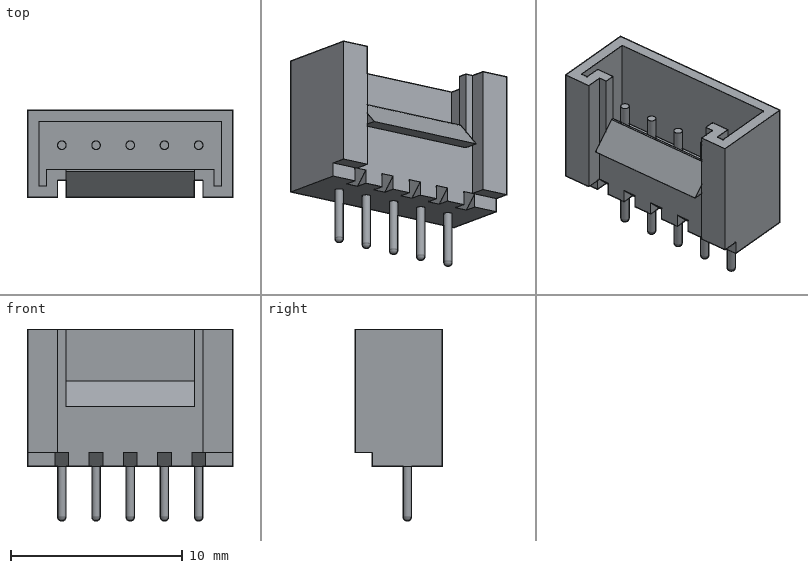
import cadquery as cq
import math

width = 12.0
depth = 5.1
height = 8.0
back_y = 2.05
front_y = back_y - depth
side_wall = 0.675
back_wall = 0.675
floor_top = 2.65

front_wall_setback = 1.0
front_wall_y = front_y + front_wall_setback
front_wall_thickness = 0.625
front_wall_inner_y = front_wall_y + front_wall_thickness
post_gap = 8.5
slot_front_wall = 0.65
lip_gap = 9.8
window_width = 7.5
window_sill = 5.0

ledge_bottom = 3.5
ledge_rise = window_sill - ledge_bottom

foot_step = 0.8
relief_width = 0.8
relief_height = foot_step

pin_count = 5
pitch = 2.0
pin_diameter = 0.5
pin_bottom = -3.2
pin_top = window_sill

pin_xs = [(i - (pin_count - 1) / 2) * pitch for i in range(pin_count)]


def block(size_x, y_min, y_max, z_min, z_max):
    """Box centred on x = 0 between the given y and z limits."""
    return (
        cq.Workplane("XY")
        .box(size_x, y_max - y_min, z_max - z_min, centered=(True, False, False))
        .translate((0, y_min, z_min))
    )


def side_prism(points, length, x_center=0.0):
    """Extrude a (y, z) profile along X, centred on x_center."""
    return (
        cq.Workplane("YZ")
        .polyline(points)
        .close()
        .extrude(length / 2, both=True)
        .translate((x_center, 0, 0))
    )


def make_housing():
    """Open-topped shell with corner posts, front wall and foot step."""
    body = block(width, front_y, back_y, 0, height)
    inner_width = width - 2 * side_wall

    cavity = block(inner_width, front_y + slot_front_wall, back_y - back_wall, floor_top, height)
    lips = block(lip_gap, front_y, front_wall_inner_y, 0, height)
    body = body.cut(cavity.cut(lips))

    body = body.cut(block(post_gap, front_y, front_wall_y, 0, height))
    body = body.cut(block(window_width, front_y, front_wall_inner_y, window_sill, height))
    return body.cut(block(width, front_y, front_wall_y, 0, foot_step))


def make_ledge():
    """45 degree wedge standing out from the front wall."""
    profile = [
        (front_y, ledge_bottom),
        (front_y + ledge_rise, window_sill),
        (front_y + ledge_rise, ledge_bottom),
    ]
    return side_prism(profile, window_width)


def make_slope_cut():
    """Material above the ledge slope, at the top of the front wall."""
    profile = [
        (front_y, ledge_bottom),
        (front_y + ledge_rise, window_sill),
        (front_y, window_sill),
    ]
    return side_prism(profile, window_width)


def make_relief(x):
    """45 degree wedge cut from the bottom front edge in front of a pin."""
    profile = [
        (front_wall_y, 0),
        (front_wall_y, relief_height),
        (front_wall_y + relief_height, 0),
    ]
    return side_prism(profile, relief_width, x)


def make_pin(x):
    """Round pin with a hemispherical lower tip, revolved about its own axis."""
    radius = pin_diameter / 2
    tip_center_z = pin_bottom + radius
    arc_offset = radius * math.sqrt(0.5)
    return (
        cq.Workplane("YZ")
        .moveTo(0, pin_top)
        .lineTo(-radius, pin_top)
        .lineTo(-radius, tip_center_z)
        .threePointArc((-arc_offset, tip_center_z - arc_offset), (0, pin_bottom))
        .close()
        .revolve(360, (0, 0, 0), (0, 1, 0))
        .translate((x, 0, 0))
    )


result = make_housing().cut(make_slope_cut()).union(make_ledge())
for pin_x in pin_xs:
    result = result.cut(make_relief(pin_x)).union(make_pin(pin_x))